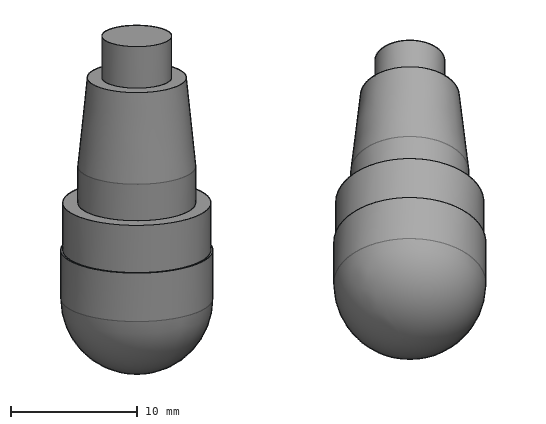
import cadquery as cq

TOTAL_HEIGHT = 27.7
CAP_DIAMETER = 12.0
COLLAR_DIAMETER = 11.7
NECK_DIAMETER = 9.3
TAPER_TOP_DIAMETER = 7.8
STEM_DIAMETER = 5.5

CAP_HEIGHT = 10.0
COLLAR_HEIGHT = 3.9
NECK_HEIGHT = 3.02
STEM_HEIGHT = 3.43

cap_radius = CAP_DIAMETER / 2
collar_top = CAP_HEIGHT + COLLAR_HEIGHT
neck_top = collar_top + NECK_HEIGHT
taper_top = TOTAL_HEIGHT - STEM_HEIGHT


def make_cap():
    """Cylinder closed at the bottom by a hemispherical dome."""
    dome_mid = cap_radius * 0.5**0.5
    profile = (
        cq.Workplane("XZ")
        .threePointArc((dome_mid, cap_radius - dome_mid), (cap_radius, cap_radius))
        .lineTo(cap_radius, CAP_HEIGHT)
        .lineTo(0, CAP_HEIGHT)
        .close()
    )
    return profile.revolve(360, (0, 0), (0, 1))


def make_body():
    """Stepped body on the cap: collar, straight neck, taper and stem."""
    profile = (
        cq.Workplane("XZ")
        .moveTo(0, CAP_HEIGHT)
        .lineTo(COLLAR_DIAMETER / 2, CAP_HEIGHT)
        .lineTo(COLLAR_DIAMETER / 2, collar_top)
        .lineTo(NECK_DIAMETER / 2, collar_top)
        .lineTo(NECK_DIAMETER / 2, neck_top)
        .lineTo(TAPER_TOP_DIAMETER / 2, taper_top)
        .lineTo(STEM_DIAMETER / 2, taper_top)
        .lineTo(STEM_DIAMETER / 2, TOTAL_HEIGHT)
        .lineTo(0, TOTAL_HEIGHT)
        .close()
    )
    return profile.revolve(360, (0, 0), (0, 1))


cap = make_cap()
body = make_body()

result = cq.Compound.makeCompound([cap.val(), body.val()])